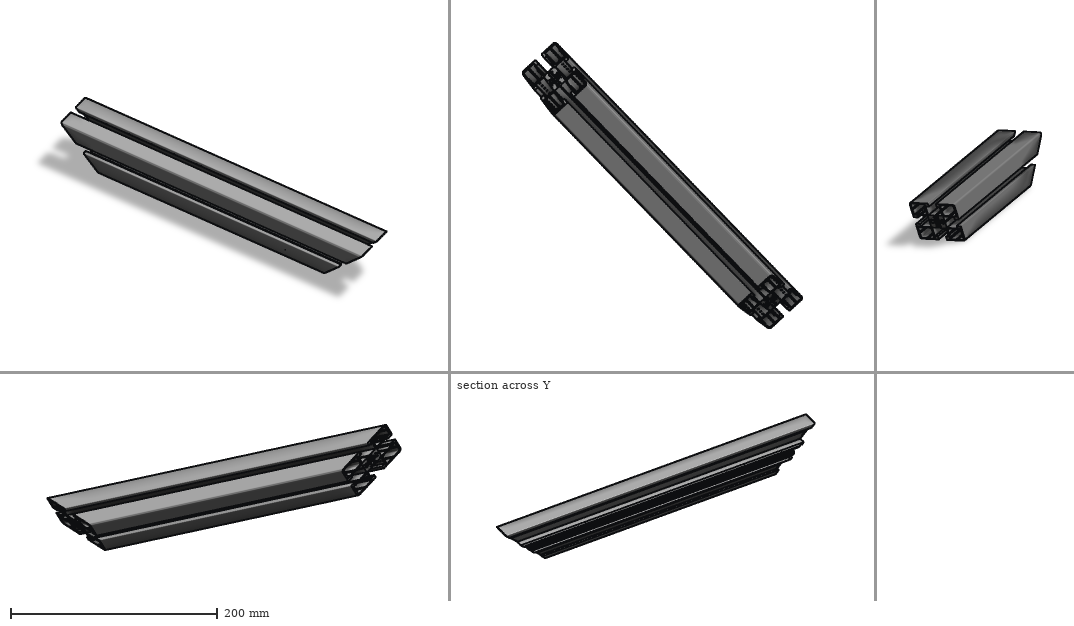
import cadquery as cq

length = 350.0
side = 45.0
half_side = side / 2
corner_radius = 2.55

slot_opening = 8.0
slot_width = 14.0
slot_floor = 7.7
lip_depth = 4.2
lip_radius = 0.7
floor_notch_width = 1.0
floor_notch_depth = 1.0

wall = 1.5
chamber_near = 8.0
chamber_outer_radius = 1.0
chamber_inner_radius = 2.5
relief_depth = 0.7
relief_height = 1.8
rib_radius = 0.7

bore_radius = 3.0
arm_neck_width = 3.0
arm_head_width = 5.0
arm_head_start = 4.0
arm_reach = 5.78

quarter_turns = (0, 90, 180, 270)


def section_plane():
    """YZ plane at the -X end of the bar."""
    return cq.Workplane("YZ", origin=(-length / 2, 0, 0))


def bar(section):
    """Extrude a section drawn in the YZ plane over the whole length."""
    return section.extrude(length)


def block(width, bottom, top):
    """Full-length bar centred on Y, from height bottom to height top."""
    return bar(section_plane().center(0, (bottom + top) / 2).rect(width, top - bottom))


def around_axis(body):
    """Four copies of a body, a quarter turn apart about the X axis."""
    copies = cq.Workplane("XY")
    for angle in quarter_turns:
        copies = copies.add(body.rotate((0, 0, 0), (1, 0, 0), angle))
    return copies.combine()


def slot():
    """Void of the T-slot on the +Z side, with a V-notch along its floor."""
    lip_underside = half_side - lip_depth
    cavity = block(slot_width, slot_floor, lip_underside)
    opening = block(slot_opening, slot_floor, half_side)
    flare = (
        section_plane()
        .moveTo(-slot_opening / 2 - lip_radius, half_side)
        .radiusArc((-slot_opening / 2, half_side - lip_radius), lip_radius)
        .lineTo(slot_opening / 2, half_side - lip_radius)
        .radiusArc((slot_opening / 2 + lip_radius, half_side), lip_radius)
        .close()
    )
    notch = bar(
        section_plane()
        .moveTo(-floor_notch_width / 2, slot_floor)
        .lineTo(0, slot_floor - floor_notch_depth)
        .lineTo(floor_notch_width / 2, slot_floor)
        .close()
    )
    return cavity.union(opening).union(bar(flare)).union(notch)


def chamber():
    """Void of the hollow chamber in the +Y, +Z corner."""
    far = half_side - wall
    middle = (chamber_near + far) / 2
    size = far - chamber_near
    body = bar(section_plane().center(middle, middle).rect(size, size))
    inner_corner = cq.selectors.NearestToPointSelector((0, chamber_near, chamber_near))
    outer_corner = cq.selectors.NearestToPointSelector((0, far, far))
    body = body.edges(inner_corner).fillet(chamber_inner_radius)
    body = body.edges(outer_corner).fillet(chamber_outer_radius)
    relief_y = chamber_near - relief_depth / 2
    relief_z = far - relief_height / 2
    side_relief = section_plane().center(relief_y, relief_z).rect(relief_depth, relief_height)
    lower_relief = section_plane().center(relief_z, relief_y).rect(relief_height, relief_depth)
    body = body.union(bar(side_relief)).union(bar(lower_relief))
    ribs = [(middle, far), (far, middle), (middle, chamber_near), (chamber_near, middle)]
    return body.cut(bar(section_plane().pushPoints(ribs).circle(rib_radius)))


def bore():
    """Void along the axis of the core."""
    neck = arm_neck_width / 2
    head = arm_head_width / 2
    arm = (
        section_plane()
        .moveTo(-neck, 0)
        .lineTo(-neck, arm_head_start)
        .lineTo(-head, arm_reach)
        .lineTo(head, arm_reach)
        .lineTo(neck, arm_head_start)
        .lineTo(neck, 0)
        .close()
    )
    return bar(section_plane().circle(bore_radius)).union(around_axis(bar(arm)))


def mitred_envelope():
    """Trapezoid that cuts both ends at 45 degrees, longest at the top."""
    return (
        cq.Workplane("XZ", origin=(0, half_side, 0))
        .moveTo(-length / 2, half_side)
        .lineTo(length / 2, half_side)
        .lineTo(length / 2 - side, -half_side)
        .lineTo(-length / 2 + side, -half_side)
        .close()
        .extrude(side)
    )


profile = bar(section_plane().rect(side, side)).edges("|X").fillet(corner_radius)
profile = profile.cut(around_axis(slot()))
profile = profile.cut(around_axis(chamber()))
profile = profile.cut(bore())
result = profile.intersect(mitred_envelope())